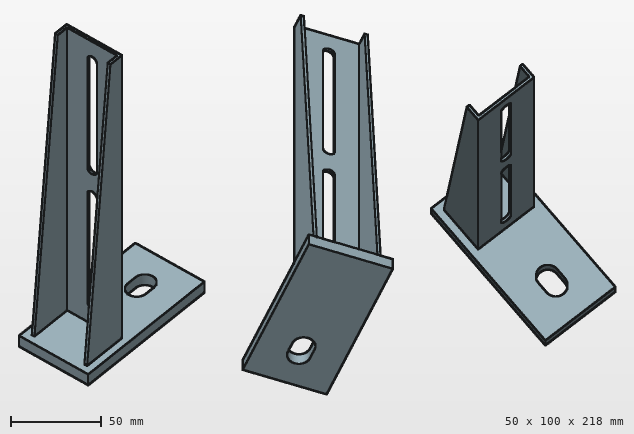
import cadquery as cq

plate_width = 50.0
plate_length = 100.0
plate_thickness = 8.0
plate_slot_width = 13.0
plate_slot_length = 20.0
plate_slot_from_back = 25.0

total_height = 218.0
channel_height = total_height - plate_thickness
channel_width = 40.0
wall = 2.0
flange_depth_bottom = 30.0
flange_depth_top = 10.0
channel_from_front = 5.0
channel_back = channel_from_front + flange_depth_bottom

web_slot_width = 7.0
web_slot_length = 87.0
web_slot_pitch = 100.0


def make_base_plate():
    """Flat plate with one rounded slot running along Y."""
    plate = cq.Workplane("XY").box(
        plate_width, plate_length, plate_thickness, centered=(True, False, False)
    )
    slot = (
        cq.Workplane("XY")
        .center(0, plate_length - plate_slot_from_back)
        .slot2D(plate_slot_length, plate_slot_width, 90)
        .extrude(plate_thickness)
    )
    return plate.cut(slot)


def make_channel_blank():
    """U-shaped upright whose flanges taper towards the top."""
    blank = (
        cq.Workplane("YZ")
        .moveTo(channel_back, plate_thickness)
        .lineTo(channel_from_front, plate_thickness)
        .lineTo(channel_back - flange_depth_top, total_height)
        .lineTo(channel_back, total_height)
        .close()
        .extrude(channel_width / 2, both=True)
    )
    inside = cq.Workplane("XY").box(
        channel_width - 2 * wall,
        channel_back - wall,
        channel_height,
        centered=(True, False, False),
    ).translate((0, 0, plate_thickness))
    return blank.cut(inside)


def make_upright_channel():
    """Channel with two rounded slots spaced evenly about mid-height."""
    web_middle = plate_thickness + channel_height / 2
    slots = (
        cq.Workplane("XZ", origin=(0, channel_back, web_middle))
        .rarray(2.2, web_slot_pitch, 1, 2)
        .slot2D(web_slot_length, web_slot_width, 90)
        .extrude(wall)
    )
    return make_channel_blank().cut(slots)


base_plate = make_base_plate().solids()
upright_channel = make_upright_channel().solids()

result = cq.Compound.makeCompound([base_plate.val(), upright_channel.val()])